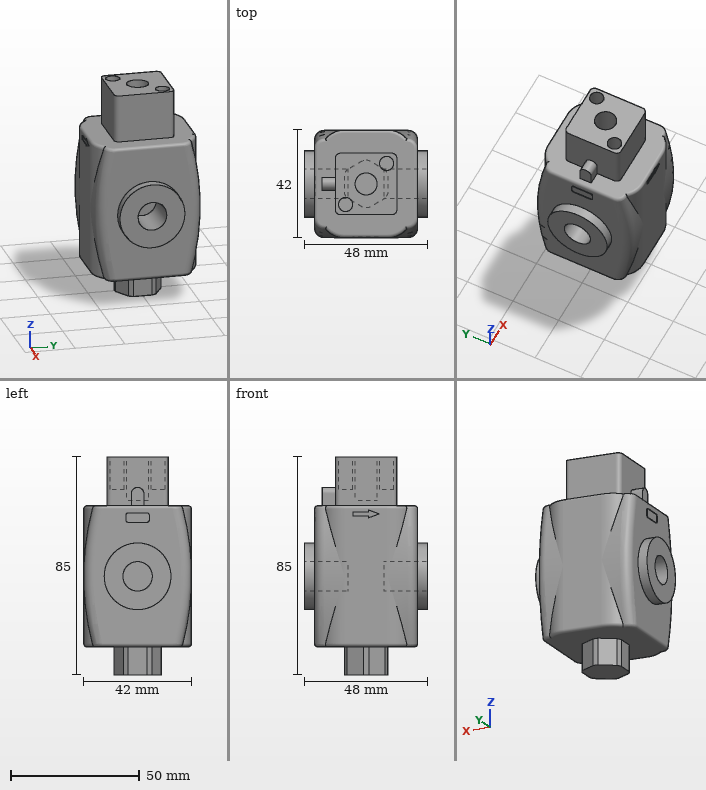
import cadquery as cq
import math


housing_height = 55.0
housing_depth = 42.0
core_width = 36.7
core_corner_radius = 10.0
shell_width = 40.2
shell_end_depth = 34.6
shell_corner_radius = 3.8
rim_radius = 1.3

port_span = 48.0
port_diameter = 26.0
port_bore_diameter = 11.5
port_bore_depth = 17

head_side = 24.0
head_height = 19.0
head_corner_radius = 1.95
head_bore_diameter = 8.6
head_bore_depth = 17
seal_diameter = 13.5
seal_thickness = 2.0
screw_hole_diameter = 5.5
screw_hole_offset = 8.0
screw_hole_depth = 12.75

key_width = 4.9
key_height = 7.1
key_tip_x = -17.1

foot_height = 11.0
foot_across_flats = 17
foot_corner_diameter = 18.5

marking_depth = 0.25
label_z = 22.9
label_width = 9.1
label_height = 3.65
label_corner_radius = 0.85
arrow_z = 24.3
arrow_tail_x = -5.0
arrow_barb_x = 0.9
arrow_tip_x = 5.1
arrow_shaft_width = 1.6
arrow_barb_width = 3.1

housing_top = housing_height / 2
head_top = housing_top + head_height


def make_core():
    """Upright block with large rounded corners."""
    core = cq.Workplane("XY").box(core_width, housing_depth, housing_height)
    core = core.edges("|Z").fillet(core_corner_radius)
    return core.faces("<Z or >Z").edges().fillet(rim_radius)


def make_shell():
    """Block whose Y walls bow outward halfway up the housing."""
    bow_y = housing_depth / 2
    end_y = shell_end_depth / 2
    shell = (
        cq.Workplane("YZ")
        .moveTo(-end_y, -housing_top)
        .lineTo(end_y, -housing_top)
        .threePointArc((bow_y, 0), (end_y, housing_top))
        .lineTo(-end_y, housing_top)
        .threePointArc((-bow_y, 0), (-end_y, -housing_top))
        .close()
        .extrude(shell_width / 2, both=True)
    )
    shell = shell.faces("<X or >X").edges("%CIRCLE").fillet(shell_corner_radius)
    return shell.faces("<Z or >Z").edges().fillet(rim_radius)


def make_ports():
    return cq.Workplane("YZ").circle(port_diameter / 2).extrude(port_span / 2, both=True)


def make_head():
    head = cq.Workplane("XY").rect(head_side, head_side).extrude(head_top)
    return head.edges("|Z").fillet(head_corner_radius)


def make_key():
    """Upright key that runs from the head out over the housing top."""
    crown_z = housing_top + key_height
    side_z = crown_z - key_width / 2
    return (
        cq.Workplane("YZ")
        .moveTo(-key_width / 2, 0)
        .lineTo(key_width / 2, 0)
        .lineTo(key_width / 2, side_z)
        .threePointArc((0, crown_z), (-key_width / 2, side_z))
        .close()
        .extrude(key_tip_x)
    )


def make_foot():
    """Hexagon with flats facing X, its corners turned to a cylinder."""
    length = housing_top + foot_height
    across_corners = foot_across_flats / math.cos(math.radians(30))
    hexagon = cq.Workplane("XY").polygon(6, across_corners).extrude(-length)
    hexagon = hexagon.rotate((0, 0, 0), (0, 0, 1), 30)
    turned = cq.Workplane("XY").circle(foot_corner_diameter / 2).extrude(-length)
    return hexagon.intersect(turned)


def cut_port_bores(part):
    for side in (-1, 1):
        bore = (
            cq.Workplane("YZ", origin=(side * port_span / 2, 0, 0))
            .circle(port_bore_diameter / 2)
            .extrude(-side * port_bore_depth)
        )
        part = part.cut(bore)
    return part


def cut_head_holes(part):
    top = cq.Workplane("XY", origin=(0, 0, head_top))
    bore = top.circle(head_bore_diameter / 2).extrude(-head_bore_depth)
    screw_holes = (
        top.pushPoints([(-screw_hole_offset, -screw_hole_offset), (screw_hole_offset, screw_hole_offset)])
        .circle(screw_hole_diameter / 2)
        .extrude(-screw_hole_depth)
    )
    return part.cut(bore).cut(screw_holes)


def cut_markings(part):
    """Label recess on the -X wall and flow arrow on the -Y wall."""
    label = (
        cq.Workplane("XY")
        .box(2 * marking_depth, label_width, label_height)
        .edges("|X")
        .fillet(label_corner_radius)
        .translate((-shell_width / 2, 0, label_z))
    )
    shaft = arrow_shaft_width / 2
    barb = arrow_barb_width / 2
    arrow = (
        cq.Workplane("XZ", origin=(0, -housing_depth / 2, arrow_z))
        .polyline(
            [
                (arrow_tail_x, -shaft),
                (arrow_barb_x, -shaft),
                (arrow_barb_x, -barb),
                (arrow_tip_x, 0),
                (arrow_barb_x, barb),
                (arrow_barb_x, shaft),
                (arrow_tail_x, shaft),
            ]
        )
        .close()
        .extrude(-marking_depth)
    )
    return part.cut(label).cut(arrow)


def fit_seal(part):
    """Flush seal ring bonded into a seat around the head bore."""
    top = cq.Workplane("XY", origin=(0, 0, head_top))
    seat = top.circle(seal_diameter / 2).extrude(-seal_thickness)
    seal = seat.cut(top.circle(head_bore_diameter / 2).extrude(-seal_thickness))
    return part.cut(seat).union(seal, clean=False)


result = make_core().union(make_shell())
for body in (make_ports(), make_head(), make_key(), make_foot()):
    result = result.union(body)
result = cut_port_bores(result)
result = cut_head_holes(result)
result = cut_markings(result)
result = fit_seal(result)